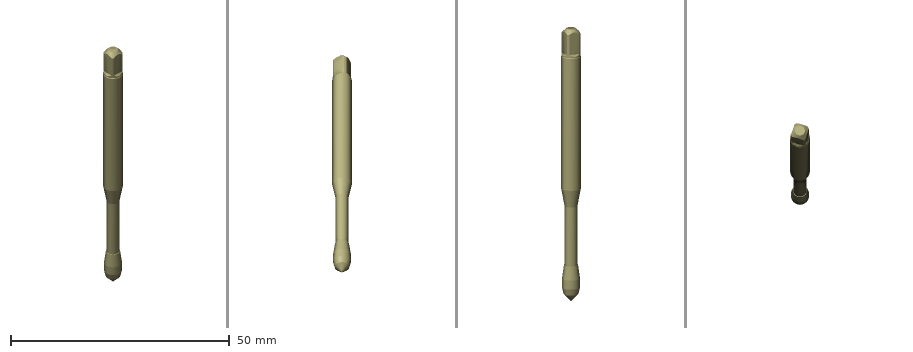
import cadquery as cq

total_length = 64.35

head_diameter = 4.1
head_top_diameter = 3.2
lead_diameter = 3.35
point_height = lead_diameter / 2
lead_top = 3.2
head_taper_start = 5.35
head_top = 8.55

neck_diameter = 2.95
shank_diameter = 4.5
neck_top = 22.45
shank_bottom = 26.6

square_width = 3.4
square_corner_diameter = 4.3
end_face_diameter = 2.25
square_bottom = 58.55
corner_step = (shank_diameter - square_corner_diameter) / 2
shank_top = 57.7
end_chamfer = (square_corner_diameter - end_face_diameter) / 2


def revolved(profile):
    """Revolve (diameter, z) points, closed along the Z axis, into a solid."""
    points = [(diameter / 2, z) for diameter, z in profile]
    return cq.Workplane("XZ").polyline(points).close().revolve(360, (0, 0), (0, 1))


def make_head():
    return revolved([
        (0, 0),
        (lead_diameter, point_height),
        (head_diameter, lead_top),
        (head_diameter, head_taper_start),
        (head_top_diameter, head_top),
        (0, head_top),
    ])


def make_flat_cutter():
    """Material beside one flat of the square, with a 45 degree run-out into the shank."""
    inner = square_width / 2
    outer = shank_diameter
    runout_bottom = square_bottom - (outer - inner)
    return (
        cq.Workplane("XZ")
        .polyline([
            (inner, total_length),
            (inner, square_bottom),
            (outer, runout_bottom),
            (outer, total_length),
        ])
        .close()
        .extrude(shank_diameter, both=True)
    )


def make_shank():
    shank = revolved([
        (0, head_top),
        (neck_diameter, head_top),
        (neck_diameter, neck_top),
        (shank_diameter, shank_bottom),
        (shank_diameter, shank_top),
        (square_corner_diameter, shank_top + corner_step),
        (square_corner_diameter, total_length - end_chamfer),
        (end_face_diameter, total_length),
        (0, total_length),
    ])
    flat_cutter = make_flat_cutter()
    for angle in (0, 90, 180, 270):
        shank = shank.cut(flat_cutter.rotate((0, 0, 0), (0, 0, 1), angle))
    return shank


head = make_head()
shank = make_shank()

result = cq.Compound.makeCompound([head.val(), shank.val()])